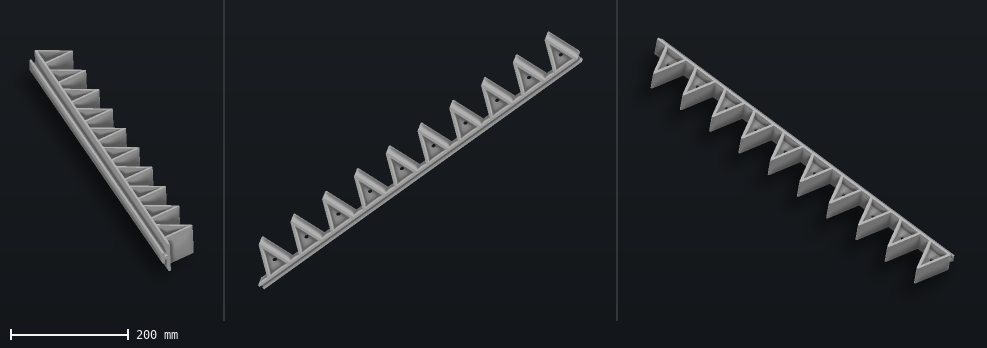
import cadquery as cq
import math

total_length = 673.0
height = 50.5
total_depth = 70.5

lean = 6.0
rail_length = total_length - lean
plate_thickness = 4.0
stem_depth = 6.0
stem_height = 6.0
flange_thickness = 4.0
flange_height = 19.0

tooth_count = 10
pitch = rail_length / tooth_count
tooth_width = 47.0
tip_radius = 2.0
wall = 5.0
web_thickness = 4.0
hole_width = 8.0
hole_depth = 6.0
hole_setback = 15.5

flange_back = flange_thickness
plate_front = flange_back + stem_depth
plate_back = plate_front + plate_thickness
tooth_length = total_depth - plate_back

tip_centre_y = total_depth - tip_radius
tip_centre_reach = tooth_length - tip_radius
half_angle = (
    math.atan2(tooth_width / 2, tip_centre_reach)
    - math.asin(tip_radius / math.hypot(tooth_width / 2, tip_centre_reach))
)
tangent_x = tip_radius * math.cos(half_angle)
tangent_y = tip_centre_y + tip_radius * math.sin(half_angle)

mid_height = height / 2
web_bottom = mid_height - web_thickness / 2
web_top = mid_height + web_thickness / 2


def leaning_prism(outline, bottom, top):
    """Prism whose sides lean along X; the outline is given for the level z = height."""
    def shift(z):
        return lean * (height - z) / height

    rise = cq.Vector(shift(top) - shift(bottom), 0, top - bottom)
    wire = outline.val().moved(cq.Location(cq.Vector(shift(bottom), 0, bottom)))
    return cq.Workplane(cq.Solid.extrudeLinear(wire, [], rise))


def polygon(points):
    return cq.Workplane("XY").polyline(points).close().wire()


def rail_bar(y_start, y_end, bar_height):
    """Full-length bar centred on the mid height."""
    outline = polygon([(0, y_start), (rail_length, y_start), (rail_length, y_end), (0, y_end)])
    return leaning_prism(outline, mid_height - bar_height / 2, mid_height + bar_height / 2)


def tooth_outline(left):
    centre = left + tooth_width / 2
    return (
        cq.Workplane("XY")
        .moveTo(left, plate_back)
        .lineTo(left + tooth_width, plate_back)
        .lineTo(centre + tangent_x, tangent_y)
        .threePointArc((centre, total_depth), (centre - tangent_x, tangent_y))
        .close()
        .wire()
    )


def pocket_outline(left):
    """Triangle parallel to the tooth sides, one wall inside them."""
    centre = left + tooth_width / 2
    half_base = tooth_width / 2 - wall
    return polygon([
        (centre - half_base, plate_back),
        (centre + half_base, plate_back),
        (centre, plate_back + half_base / math.tan(half_angle)),
    ])


def hole_outline(left):
    centre = (left + tooth_width / 2, plate_back + hole_setback)
    return cq.Workplane("XY").pushPoints([centre]).ellipse(hole_width / 2, hole_depth / 2)


result = (
    rail_bar(plate_front, plate_back, height)
    .union(rail_bar(flange_back, plate_front, stem_height))
    .union(rail_bar(0, flange_back, flange_height))
)

for index in range(tooth_count):
    tooth_left = index * pitch
    tooth = leaning_prism(tooth_outline(tooth_left), 0, height)
    upper_pocket = leaning_prism(pocket_outline(tooth_left), web_top, height)
    lower_pocket = leaning_prism(pocket_outline(tooth_left), 0, web_bottom)
    hole = leaning_prism(hole_outline(tooth_left), web_bottom, web_top)
    result = result.union(tooth.cut(upper_pocket).cut(lower_pocket).cut(hole))